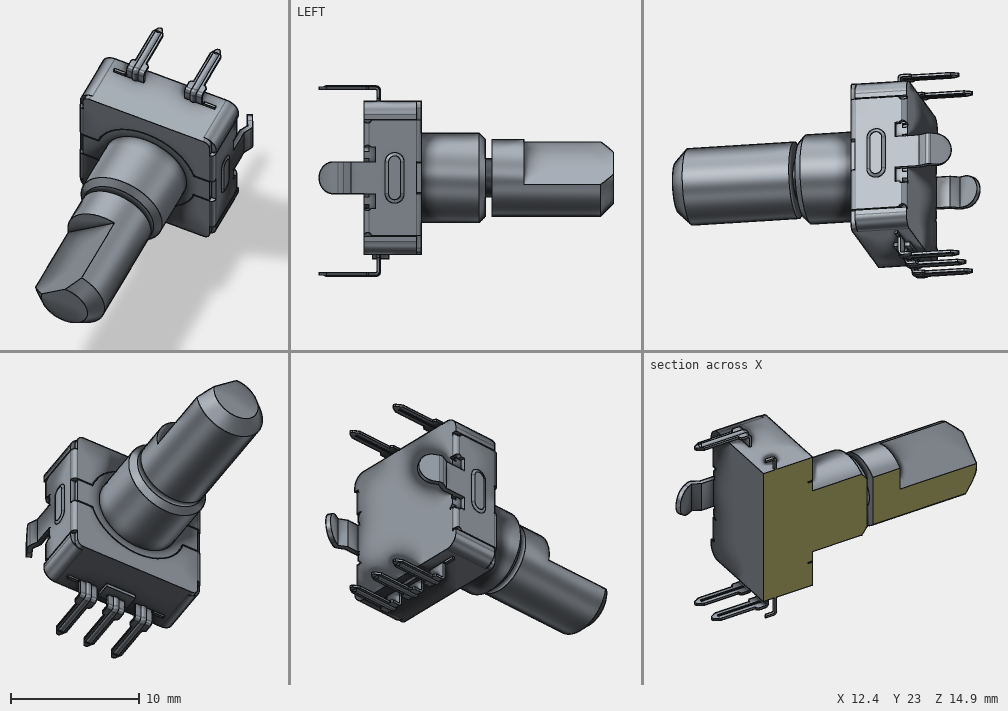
import cadquery as cq
import math


HOUSING_WIDTH = 11.7
HOUSING_HEIGHT = 12.0
HOUSING_DEPTH = 4.5
HOUSING_CORNER_R = 1.05
SHEET = 0.4
COVER_CORNER_R = 0.53
SIDE_X = HOUSING_WIDTH / 2
PLATE_X = SIDE_X - SHEET
TOP_Z = HOUSING_HEIGHT / 2

WALL_HALF_HEIGHT = 4.5
WALL_GAP = 0.07
FOLD_START_Z = 2.4
RELIEF_R = 0.3
RELIEF_Y = HOUSING_DEPTH - RELIEF_R
RELIEF_SHIFT = 0.15
NOTCH_DEPTH = 0.9
RAMP_START_Z = 2.07
RAMP_DEPTH = 0.3
STEP_END_Z = 1.5
STEP_DEPTH = 0.1
PAD_LENGTH = 3.96
PAD_WIDTH = 1.48
PAD_HEIGHT = 0.1
PAD_BEVEL = 0.27
PAD_Y = 2.09

OPENING_R = 4.3
FLANGE_R = 4.25
OPENING_HALF_ARM = 1.25
FLANGE_HALF_ARM = 1.15

BUSHING_D = 7.0
BUSHING_LENGTH = 5.0
BUSHING_CHAMFER = 0.5
NECK_D = 3.0
NECK_LENGTH = 0.5
SHAFT_D = 6.0
SHAFT_END = 15.0
SHAFT_CHAMFER = 1.0
FLAT_LENGTH = 7.0
FLAT_OFFSET = 1.5
FLAT_ANGLE = 40.0

CLIP_HALF_WIDTH = 1.25
CLIP_REACH = 3.5
CLIP_BEND = math.radians(27)
CLIP_STRAIGHT = 1.0
CLIP_BULGE = 0.405
CLIP_BEND_R = 0.45

PIN_PITCH = 2.5
PIN_SHEET = 0.2
PIN_FRONT_Y = 3.28
PIN_WIDTH = 0.9
PIN_BASE_WIDTH = 1.48
PIN_BASE_END = HOUSING_DEPTH - 0.2
PIN_BASE_BEVEL = 0.15
PIN_BEND_R = 0.3
PIN_TIP_Y = HOUSING_DEPTH + 3.5
PIN_SHOULDER_Y = PIN_TIP_Y - 0.57
PIN_TIP_HALF = 0.15
PIN_TIP_ROUND = 0.05
TOP_PIN_Z = 7.1
BOTTOM_PIN_Z = 7.6
RIB_WIDTH = 0.5
RIB_HEIGHT = 0.1
RIB_RUNOUT = 0.2
GROOVE_WIDTH = 0.22
GROOVE_DEPTH = 0.1

TERMINAL_END_X = 4.37
TERMINAL_STEP_X = 3.4
TERMINAL_HEIGHT = 0.2
TERMINAL_LOW_HEIGHT = 0.07
BLOCK_WIDTH = 2.6
BLOCK_START_Y = 2.54
BLOCK_END_Y = 3.82
BLOCK_HEIGHT = 0.33

EMBED = 0.3


def block(x, y, z):
    """Box given by its (low, high) limits along each axis."""
    size = (x[1] - x[0], y[1] - y[0], z[1] - z[0])
    return cq.Workplane("XY").box(*size, centered=False).translate((x[0], y[0], z[0]))


def disc(radius, start_y, length):
    """Cylinder on the shaft axis, running from start_y toward -Y."""
    return cq.Workplane("XZ", origin=(0, start_y, 0)).circle(radius).extrude(length)


def mirrored(part, plane):
    return part.union(part.mirror(plane))


def make_housing():
    core = (
        cq.Workplane("XZ", origin=(0, HOUSING_DEPTH, 0))
        .rect(HOUSING_WIDTH, HOUSING_HEIGHT)
        .extrude(HOUSING_DEPTH - SHEET)
        .edges("|Y")
        .fillet(HOUSING_CORNER_R)
    )
    plate = (
        cq.Workplane("XZ", origin=(0, SHEET, 0))
        .rect(2 * PLATE_X, HOUSING_HEIGHT)
        .extrude(SHEET)
        .edges("|Y")
        .fillet(COVER_CORNER_R)
    )
    return core.union(plate)


def flange_shape(radius, half_arm):
    """Round flange with two arms that reach the sides of the front plate."""
    arms = block((-PLATE_X, PLATE_X), (0, SHEET), (-half_arm, half_arm))
    return disc(radius, SHEET, SHEET).union(arms)


def make_flange_groove():
    opening = flange_shape(OPENING_R, OPENING_HALF_ARM)
    return opening.cut(flange_shape(FLANGE_R, FLANGE_HALF_ARM))


def make_wall_bends():
    """Bent edges that join the front plate to the +X side wall, above and below the arm."""
    bend = (
        cq.Workplane("XY", origin=(0, 0, OPENING_HALF_ARM))
        .moveTo(PLATE_X, 0)
        .radiusArc((SIDE_X, SHEET), -SHEET)
        .lineTo(PLATE_X, SHEET)
        .close()
        .extrude(WALL_HALF_HEIGHT - OPENING_HALF_ARM)
    )
    return mirrored(bend, "XY")


def make_wall_cuts():
    """Gaps, reliefs, folds and notches of the +X side wall."""
    sheet_x = (PLATE_X, SIDE_X)
    back_y = (HOUSING_DEPTH - SHEET, HOUSING_DEPTH)
    gap_z = (WALL_HALF_HEIGHT, WALL_HALF_HEIGHT + WALL_GAP)
    cuts = block((SIDE_X - SHEET / 2, SIDE_X), (SHEET, HOUSING_DEPTH), gap_z)

    notch_y = (HOUSING_DEPTH - NOTCH_DEPTH, HOUSING_DEPTH)
    cuts = cuts.union(block(sheet_x, notch_y, (CLIP_HALF_WIDTH, FOLD_START_Z)))

    relief_centers = [
        (RELIEF_Y, FOLD_START_Z - RELIEF_SHIFT),
        (RELIEF_Y, WALL_HALF_HEIGHT + WALL_GAP),
    ]
    reliefs = (
        cq.Workplane("YZ", origin=(PLATE_X, 0, 0))
        .pushPoints(relief_centers)
        .circle(RELIEF_R)
        .extrude(SHEET)
        .intersect(block(sheet_x, (0, HOUSING_DEPTH), (0, WALL_HALF_HEIGHT + WALL_GAP)))
    )
    cuts = cuts.union(reliefs)

    fold = (
        cq.Workplane("XY", origin=(0, 0, FOLD_START_Z))
        .moveTo(SIDE_X, HOUSING_DEPTH - SHEET)
        .radiusArc((PLATE_X, HOUSING_DEPTH), -SHEET)
        .lineTo(SIDE_X, HOUSING_DEPTH)
        .close()
        .extrude(WALL_HALF_HEIGHT - FOLD_START_Z)
    )
    ramp = (
        cq.Workplane("XZ", origin=(0, HOUSING_DEPTH, 0))
        .moveTo(PLATE_X, RAMP_START_Z)
        .lineTo(PLATE_X, FOLD_START_Z)
        .lineTo(PLATE_X - RAMP_DEPTH, FOLD_START_Z)
        .close()
        .extrude(SHEET)
    )
    step = block((PLATE_X - STEP_DEPTH, PLATE_X), back_y, (CLIP_HALF_WIDTH, STEP_END_Z))
    cuts = cuts.union(fold).union(ramp).union(step)
    return mirrored(cuts, "XY")


def make_wall_pad():
    """Raised oblong with sloped sides on the +X side wall."""
    taper = math.degrees(math.atan2(PAD_BEVEL, PAD_HEIGHT))
    return (
        cq.Workplane("YZ", origin=(SIDE_X, PAD_Y, 0))
        .slot2D(PAD_LENGTH, PAD_WIDTH, 90)
        .extrude(PAD_HEIGHT, taper=taper)
    )


def make_clip():
    """Mounting clip on the +X side: straight, bulging outward, then leaning back in."""
    reach_y = HOUSING_DEPTH + CLIP_REACH
    bend_y = HOUSING_DEPTH + CLIP_STRAIGHT
    slope = math.tan(CLIP_BEND)
    apex_x = SIDE_X + CLIP_BULGE
    apex_y = bend_y + CLIP_BULGE / slope
    tip_x = apex_x - (reach_y - apex_y) * slope
    inner_tip = (tip_x - SHEET * math.cos(CLIP_BEND), reach_y - SHEET * math.sin(CLIP_BEND))
    root_y = HOUSING_DEPTH - NOTCH_DEPTH
    strip = (
        cq.Workplane("XY", origin=(0, 0, -CLIP_HALF_WIDTH))
        .moveTo(SIDE_X, root_y)
        .lineTo(SIDE_X, bend_y)
        .lineTo(apex_x, apex_y)
        .lineTo(tip_x, reach_y)
        .lineTo(*inner_tip)
        .lineTo(apex_x - SHEET / math.cos(CLIP_BEND), apex_y)
        .lineTo(PLATE_X, bend_y + SHEET * math.tan(CLIP_BEND / 2))
        .lineTo(PLATE_X, root_y)
        .close()
        .extrude(2 * CLIP_HALF_WIDTH)
        .edges("|Z and >X")
        .fillet(CLIP_BEND_R)
    )
    along = (-math.sin(CLIP_BEND), math.cos(CLIP_BEND), 0)
    outward = (math.cos(CLIP_BEND), math.sin(CLIP_BEND), 0)
    tip_plane = cq.Plane(origin=(tip_x, reach_y, 0), xDir=along, normal=outward)
    round_end = (
        cq.Workplane(tip_plane)
        .moveTo(-CLIP_HALF_WIDTH, -CLIP_HALF_WIDTH)
        .threePointArc((0, 0), (-CLIP_HALF_WIDTH, CLIP_HALF_WIDTH))
        .lineTo(-2 * CLIP_REACH, CLIP_HALF_WIDTH)
        .lineTo(-2 * CLIP_REACH, -CLIP_HALF_WIDTH)
        .close()
        .extrude(2 * CLIP_REACH, both=True)
    )
    return strip.intersect(round_end)


def make_bushing_and_shaft():
    bushing = disc(BUSHING_D / 2, SHEET, BUSHING_LENGTH + SHEET).faces("<Y").chamfer(BUSHING_CHAMFER)
    shaft_start = BUSHING_LENGTH + NECK_LENGTH
    neck = disc(NECK_D / 2, -BUSHING_LENGTH, NECK_LENGTH)
    shaft = disc(SHAFT_D / 2, -shaft_start, SHAFT_END - shaft_start).faces("<Y").chamfer(SHAFT_CHAMFER)
    flat_cut = block(
        (-SHAFT_D, SHAFT_D),
        (-SHAFT_END, FLAT_LENGTH - SHAFT_END),
        (FLAT_OFFSET, SHAFT_D),
    ).rotate((0, 0, 0), (0, 1, 0), -FLAT_ANGLE)
    return bushing.union(neck).union(shaft.cut(flat_cut))


def make_pin(outer_z):
    """Embossed pin at X = 0: a leg rising to outer_z, bent over to run along +Y."""
    root_z = TOP_Z - EMBED
    inner_z = outer_z - PIN_SHEET
    leg_back_y = PIN_FRONT_Y + PIN_SHEET
    bent_strip = (
        cq.Workplane("YZ", origin=(-PIN_BASE_WIDTH / 2, 0, 0))
        .moveTo(PIN_FRONT_Y, root_z)
        .lineTo(PIN_FRONT_Y, outer_z - PIN_BEND_R)
        .radiusArc((PIN_FRONT_Y + PIN_BEND_R, outer_z), PIN_BEND_R)
        .lineTo(PIN_TIP_Y, outer_z)
        .lineTo(PIN_TIP_Y, inner_z)
        .lineTo(PIN_FRONT_Y + PIN_BEND_R, inner_z)
        .radiusArc((leg_back_y, outer_z - PIN_BEND_R), PIN_SHEET - PIN_BEND_R)
        .lineTo(leg_back_y, root_z)
        .close()
        .extrude(PIN_BASE_WIDTH)
    )
    half_base = PIN_BASE_WIDTH / 2
    half_pin = PIN_WIDTH / 2
    tip_side_y = PIN_TIP_Y - PIN_TIP_ROUND
    outline = (
        cq.Workplane("XY")
        .moveTo(-half_base, 0)
        .lineTo(-half_base, PIN_BASE_END - PIN_BASE_BEVEL)
        .lineTo(PIN_BASE_BEVEL - half_base, PIN_BASE_END)
        .lineTo(-half_pin, PIN_BASE_END)
        .lineTo(-half_pin, PIN_SHOULDER_Y)
        .lineTo(-PIN_TIP_HALF, tip_side_y)
        .threePointArc((0, PIN_TIP_Y), (PIN_TIP_HALF, tip_side_y))
        .lineTo(half_pin, PIN_SHOULDER_Y)
        .lineTo(half_pin, PIN_BASE_END)
        .lineTo(half_base - PIN_BASE_BEVEL, PIN_BASE_END)
        .lineTo(half_base, PIN_BASE_END - PIN_BASE_BEVEL)
        .lineTo(half_base, 0)
        .close()
        .extrude(outer_z)
    )
    groove = block(
        (-GROOVE_WIDTH / 2, GROOVE_WIDTH / 2),
        (PIN_FRONT_Y + PIN_BEND_R, PIN_SHOULDER_Y),
        (inner_z, inner_z + GROOVE_DEPTH),
    )
    return bent_strip.intersect(outline).cut(groove).union(make_rib(outer_z))


def make_rib(outer_z):
    """Rounded rib that follows the outside of a pin over its bend."""
    root_z = TOP_Z - EMBED
    rib_end_y = PIN_SHOULDER_Y + RIB_RUNOUT
    path = (
        cq.Workplane("YZ")
        .moveTo(PIN_FRONT_Y, root_z)
        .lineTo(PIN_FRONT_Y, outer_z - PIN_BEND_R)
        .radiusArc((PIN_FRONT_Y + PIN_BEND_R, outer_z), PIN_BEND_R)
        .lineTo(rib_end_y, outer_z)
    )
    half_rib = RIB_WIDTH / 2
    root = PIN_FRONT_Y + PIN_SHEET / 2
    rib = (
        cq.Workplane("XY", origin=(0, 0, root_z))
        .moveTo(-half_rib, root)
        .lineTo(-half_rib, PIN_FRONT_Y)
        .threePointArc((0, PIN_FRONT_Y - RIB_HEIGHT), (half_rib, PIN_FRONT_Y))
        .lineTo(half_rib, root)
        .close()
        .sweep(path)
    )
    runout = (
        cq.Workplane("YZ")
        .moveTo(PIN_SHOULDER_Y, outer_z + RIB_HEIGHT)
        .lineTo(rib_end_y, outer_z)
        .lineTo(rib_end_y, outer_z + RIB_HEIGHT)
        .close()
        .extrude(RIB_WIDTH, both=True)
    )
    return rib.cut(runout)


def make_terminal_edge():
    """Thin terminal edge that runs outward from an outer pin along the top of the housing."""
    sheet_y = (PIN_FRONT_Y, PIN_FRONT_Y + PIN_SHEET)
    root_z = TOP_Z - EMBED
    low = block((PIN_PITCH, TERMINAL_STEP_X), sheet_y, (root_z, TOP_Z + TERMINAL_LOW_HEIGHT))
    high = block((TERMINAL_STEP_X, TERMINAL_END_X), sheet_y, (root_z, TOP_Z + TERMINAL_HEIGHT))
    return low.union(high)


def make_pin_pair(outer_z):
    outer_pin = make_pin(outer_z).translate((PIN_PITCH, 0, 0)).union(make_terminal_edge())
    return mirrored(outer_pin, "YZ")


def make_locating_block():
    return block(
        (-BLOCK_WIDTH / 2, BLOCK_WIDTH / 2),
        (BLOCK_START_Y, BLOCK_END_Y),
        (-TOP_Z - BLOCK_HEIGHT, -TOP_Z),
    )


walls = mirrored(make_wall_bends().union(make_wall_pad()), "YZ")
housing = make_housing().union(walls)
housing = housing.cut(mirrored(make_wall_cuts(), "YZ")).cut(make_flange_groove())

bottom_pins = make_pin_pair(BOTTOM_PIN_Z).union(make_pin(BOTTOM_PIN_Z)).mirror("XY")

result = (
    housing.union(make_bushing_and_shaft())
    .union(mirrored(make_clip(), "YZ"))
    .union(make_pin_pair(TOP_PIN_Z))
    .union(bottom_pins)
    .union(make_locating_block())
)